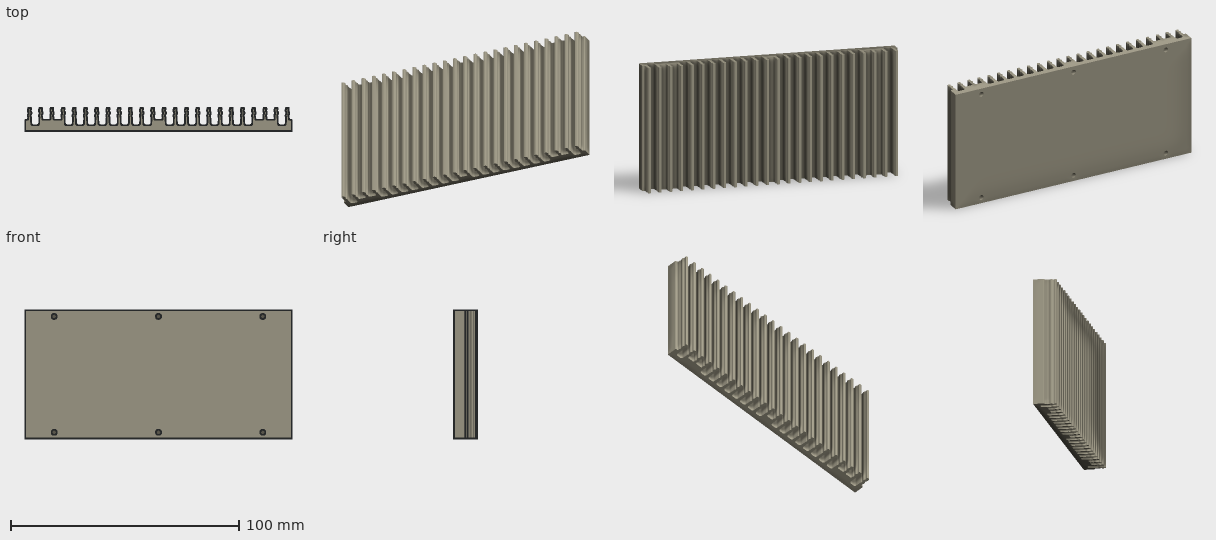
import cadquery as cq
import math

LENGTH = 116.84
DEPTH = 10.16
HEIGHT = 56.39

FIN_COUNT = 24
FIN_PITCH = 4.914
FIN_THICKNESS = 1.32
FIN_FLARE = 0.035
TIP_RADIUS = 0.38

WAVE_START = 9.56
HALF_WAVE = 1.14
HALF_WAVE_COUNT = 3
WAVE_AMPLITUDE = 0.2
WAVE_END = WAVE_START - HALF_WAVE_COUNT * HALF_WAVE

DEEP_FLOOR = 2.54
DEEP_RADIUS = 0.9
SHALLOW_FLOOR = 4.95
SHALLOW_RADIUS = 0.5
SHALLOW_GAPS = (2, 3, 12, 21, 22)
END_RADIUS = 0.4

HOLE_DIAMETER = 2.26
HOLE_DEPTH = 4.0
HOLE_SPACING_X = 45.72
HOLE_SPACING_Z = 50.8
HOLE_COLUMNS = 3
HOLE_ROWS = 2

DIAGONAL = math.sqrt(0.5)


def fin_center(number):
    return (number - 1 - (FIN_COUNT - 1) / 2) * FIN_PITCH


def quarter_round(outline, start, end, center):
    """Draw a line to start, then a quarter circle from start to end about center."""
    middle_x = center[0] + DIAGONAL * (start[0] + end[0] - 2 * center[0])
    middle_y = center[1] + DIAGONAL * (start[1] + end[1] - 2 * center[1])
    return outline.lineTo(*start).threePointArc((middle_x, middle_y), end)


def flank_offset(y):
    """Distance of a straight flank from the fin center at height y, below the wave."""
    return FIN_THICKNESS / 2 + FIN_FLARE * (WAVE_END - y)


def wave_point(flank_x, half_waves):
    """Point on a swaying flank, a number of half waves below the start of the wave."""
    sway = WAVE_AMPLITUDE * math.sin(math.pi * half_waves)
    return (flank_x - sway, WAVE_START - half_waves * HALF_WAVE)


def wave_up(outline, flank_x):
    """Draw a swaying flank from the straight root up to the start of the wave."""
    outline = outline.lineTo(*wave_point(flank_x, HALF_WAVE_COUNT))
    for index in reversed(range(HALF_WAVE_COUNT)):
        peak = wave_point(flank_x, index + 0.5)
        outline = outline.threePointArc(peak, wave_point(flank_x, index))
    return outline


def wave_down(outline, flank_x):
    """Draw a swaying flank from the start of the wave down to the straight root."""
    outline = outline.lineTo(*wave_point(flank_x, 0))
    for index in range(HALF_WAVE_COUNT):
        peak = wave_point(flank_x, index + 0.5)
        outline = outline.threePointArc(peak, wave_point(flank_x, index + 1))
    return outline


def add_fin(outline, center_x):
    """Draw one fin: up its left flank, across the rounded tip, down its right flank."""
    left = center_x - FIN_THICKNESS / 2
    right = center_x + FIN_THICKNESS / 2
    round_y = DEPTH - TIP_RADIUS
    outline = wave_up(outline, left)
    outline = quarter_round(
        outline, (left, round_y), (left + TIP_RADIUS, DEPTH), (left + TIP_RADIUS, round_y)
    )
    outline = quarter_round(
        outline, (right - TIP_RADIUS, DEPTH), (right, round_y), (right - TIP_RADIUS, round_y)
    )
    return wave_down(outline, right)


def root_on_right(outline, center_x, floor, radius):
    """Round the right flank of a fin into the floor beside it."""
    y = floor + radius
    x = center_x + flank_offset(y)
    return quarter_round(outline, (x, y), (x + radius, floor), (x + radius, y))


def root_on_left(outline, center_x, floor, radius):
    """Round the floor beside a fin into its left flank."""
    y = floor + radius
    x = center_x - flank_offset(y)
    return quarter_round(outline, (x - radius, floor), (x, y), (x - radius, y))


def floor_after(number):
    """Floor height and root radius on the +X side of a fin; the last fin meets the end shoulder."""
    if number in SHALLOW_GAPS or number == FIN_COUNT:
        return SHALLOW_FLOOR, SHALLOW_RADIUS
    return DEEP_FLOOR, DEEP_RADIUS


def make_profile():
    """Cross-section of the extrusion in the XY plane."""
    end_x = LENGTH / 2
    end_y = SHALLOW_FLOOR - END_RADIUS
    round_x = end_x - END_RADIUS
    outline = cq.Workplane("XY", origin=(0, 0, -HEIGHT / 2)).moveTo(-end_x, 0)
    outline = quarter_round(outline, (-end_x, end_y), (-round_x, SHALLOW_FLOOR), (-round_x, end_y))
    floor, radius = SHALLOW_FLOOR, SHALLOW_RADIUS
    for number in range(1, FIN_COUNT + 1):
        center_x = fin_center(number)
        outline = root_on_left(outline, center_x, floor, radius)
        outline = add_fin(outline, center_x)
        floor, radius = floor_after(number)
        outline = root_on_right(outline, center_x, floor, radius)
    outline = quarter_round(outline, (round_x, SHALLOW_FLOOR), (end_x, end_y), (round_x, end_y))
    return outline.lineTo(end_x, 0).close()


def make_holes():
    """Blind holes entering the base face in the +Y direction."""
    return (
        cq.Workplane("XZ")
        .rarray(HOLE_SPACING_X, HOLE_SPACING_Z, HOLE_COLUMNS, HOLE_ROWS)
        .circle(HOLE_DIAMETER / 2)
        .extrude(-HOLE_DEPTH)
    )


result = make_profile().extrude(HEIGHT).cut(make_holes())